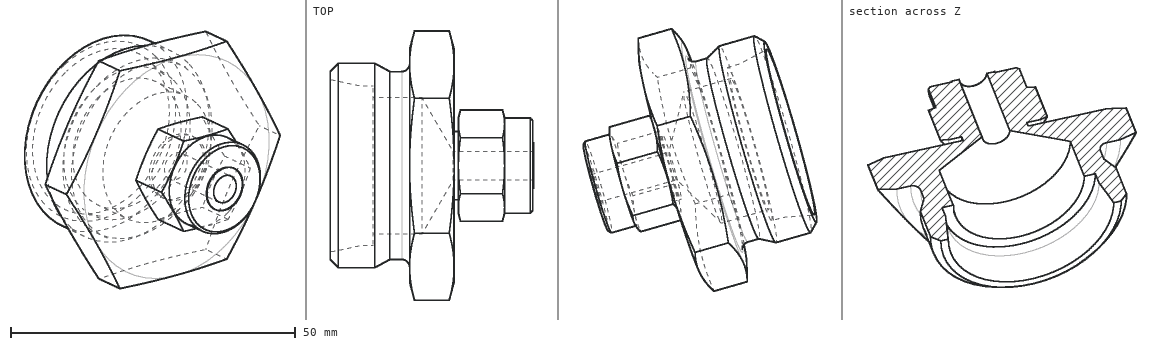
import cadquery as cq
import math

mouth_x = 0.0
body_hex_x = 13.95
body_hex_end_x = 21.8
nut_hex_x = 22.55
nut_hex_end_x = 30.65
nut_end_x = 35.6
tube_end_x = 35.8

spigot_radius = 18.0
spigot_chamfer = 1.45
thread_end_x = 7.8
groove_x = 10.5
groove_radius = 16.5
groove_fillet = 1.4

body_hex_corners = 47.35
nut_hex_corners = 19.6
hex_chamfer_angle = 15.0

neck_radius = 6.0
nut_radius = 8.4
nut_end_chamfer = 0.45
tube_radius = 4.0

bore_mouth_radius = 15.15
seat_radius = 14.0
taper_half_angle = 12.0
seat_depth = 7.5
main_bore_radius = 12.0
main_bore_depth = 16.1
through_radius = 2.5
floor_cone_half_angle = 60.0


def revolve_about_x(profile):
    """Revolve a closed profile, drawn as (x, radius), about the X axis."""
    return profile.close().revolve(360, (0, 0, 0), (1, 0, 0))


def cylinder(start_x, end_x, radius):
    return cq.Workplane("YZ").workplane(offset=start_x).circle(radius).extrude(end_x - start_x)


def chamfered_hex(start_x, end_x, across_corners):
    """Hexagonal prism with both ends turned to a cone that starts at the across-flats circle."""
    corner_radius = across_corners / 2
    flat_radius = corner_radius * math.cos(math.radians(30))
    chamfer_length = (corner_radius - flat_radius) * math.tan(math.radians(hex_chamfer_angle))
    prism = (
        cq.Workplane("YZ")
        .workplane(offset=start_x)
        .polygon(6, across_corners)
        .extrude(end_x - start_x)
    )
    envelope = revolve_about_x(
        cq.Workplane("XY")
        .moveTo(start_x, 0)
        .lineTo(start_x, flat_radius)
        .lineTo(start_x + chamfer_length, corner_radius)
        .lineTo(end_x - chamfer_length, corner_radius)
        .lineTo(end_x, flat_radius)
        .lineTo(end_x, 0)
    )
    return prism.intersect(envelope)


def threaded_spigot():
    """Spigot with a chamfered mouth, a run-out groove and a fillet up to the hexagon."""
    fillet_x = body_hex_x - groove_fillet
    fillet_mid_x = fillet_x + groove_fillet * math.sin(math.radians(45))
    fillet_mid_radius = groove_radius + groove_fillet * (1 - math.cos(math.radians(45)))
    return revolve_about_x(
        cq.Workplane("XY")
        .moveTo(mouth_x, 0)
        .lineTo(mouth_x, spigot_radius - spigot_chamfer)
        .lineTo(mouth_x + spigot_chamfer, spigot_radius)
        .lineTo(thread_end_x, spigot_radius)
        .lineTo(groove_x, groove_radius)
        .lineTo(fillet_x, groove_radius)
        .threePointArc((fillet_mid_x, fillet_mid_radius), (body_hex_x, groove_radius + groove_fillet))
        .lineTo(body_hex_x, 0)
    )


def nut():
    """Hexagon nut with a round collar chamfered at its free end."""
    collar = cylinder(nut_hex_end_x, nut_end_x, nut_radius).faces(">X").chamfer(nut_end_chamfer)
    return chamfered_hex(nut_hex_x, nut_hex_end_x, nut_hex_corners).union(collar)


def bore():
    """Cavity running from the tapered mouth to the small end."""
    taper_length = (bore_mouth_radius - seat_radius) / math.tan(math.radians(taper_half_angle))
    cone_length = (main_bore_radius - through_radius) / math.tan(math.radians(floor_cone_half_angle))
    return revolve_about_x(
        cq.Workplane("XY")
        .moveTo(mouth_x, 0)
        .lineTo(mouth_x, bore_mouth_radius)
        .lineTo(mouth_x + taper_length, seat_radius)
        .lineTo(seat_depth, seat_radius)
        .lineTo(seat_depth, main_bore_radius)
        .lineTo(main_bore_depth, main_bore_radius)
        .lineTo(main_bore_depth + cone_length, through_radius)
        .lineTo(tube_end_x, through_radius)
        .lineTo(tube_end_x, 0)
    )


result = (
    threaded_spigot()
    .union(chamfered_hex(body_hex_x, body_hex_end_x, body_hex_corners))
    .union(cylinder(body_hex_end_x, nut_hex_x, neck_radius))
    .union(nut())
    .union(cylinder(nut_end_x, tube_end_x, tube_radius))
    .cut(bore())
)